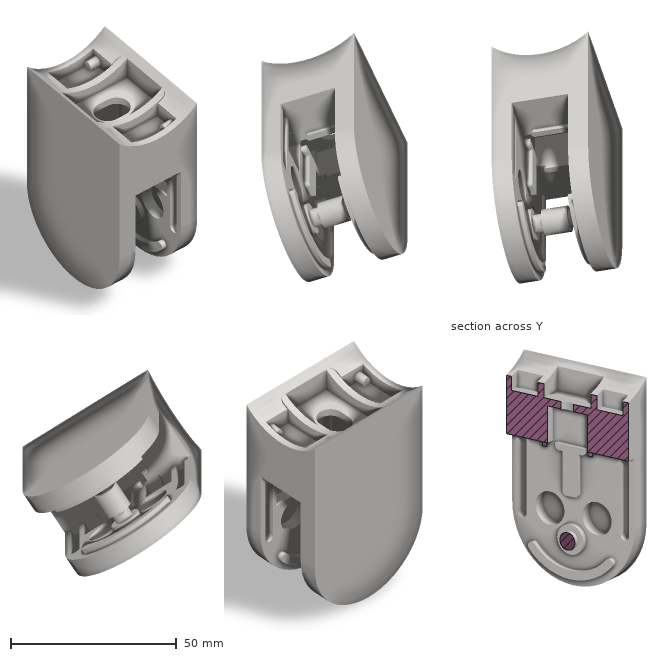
import cadquery as cq
import math

WIDTH = 45.0
DEPTH = 30.0
HEIGHT = 69.2
JAW_THICKNESS = 6.2
BLOCK_BOTTOM = 45.05
END_RADIUS = WIDTH / 2
OUTER_Y = DEPTH / 2
INNER_Y = OUTER_Y - JAW_THICKNESS

SADDLE_SAG = 6.1
SADDLE_RADIUS = (OUTER_Y**2 + SADDLE_SAG**2) / (2 * SADDLE_SAG)
SADDLE_Z = HEIGHT - SADDLE_SAG + SADDLE_RADIUS

POCKET_FLOOR = 59.4
CENTRE_POCKET_WIDTH = 17.1
CENTRE_POCKET_FRONT = -12.7
SIDE_POCKET_INNER_X = 10.95
SIDE_POCKET_OUTER_X = 20.35
SIDE_POCKET_FRONT = -8.6
TONGUE_WIDTH = 2 * SIDE_POCKET_INNER_X
TONGUE_BACK = 12.5
TONGUE_CORNER = 1.7
TONGUE_GAP = 0.4

OPENING_WIDTH = 8.6
OPENING_LENGTH = 12.05
LEDGE_THICKNESS = 2.5

CAVITY_WIDTH = 14.55
CAVITY_END_Y = -SIDE_POCKET_FRONT
CAVITY_NECK_WIDTH = 12.45
CAVITY_NECK_BACK = 12.0
CAVITY_CORNER = 1.1

GROOVE_X = 18.8
GROOVE_WIDTH = 3.2
GROOVE_BOTTOM = 18.1
GROOVE_DEPTH = 2.3
CUP_X = 8.65
CUP_Z = 23.0
CUP_RADIUS = 5.3
WINDOW_OUTER_X = 15.8
WINDOW_INNER_X = 6.2
WINDOW_BOTTOM = 30.4

RIB_HEIGHT = 1.7
ARC_RIB_RADIUS = 18.7
ARC_RIB_WIDTH = 2.85
ARC_RIB_HALF_ANGLE = math.radians(49)
STEM_WIDTH = 5.55
STEM_BOTTOM = 28.85
STEM_CORNER = 1.05
CROSSBAR_LENGTH = 11.1
CROSSBAR_RADIUS = 1.3
CROSSBAR_Z = 44.15

PEG_X = 18.35
PEG_Z = 61.2
PEG_LENGTH = 3.6
PEG_BASE_RADIUS = 1.8
PEG_TIP_RADIUS = 1.5

PIN_Z = 15.1
PIN_RADIUS = 2.85
SLEEVE_RADIUS = 4.0
SLEEVE_LENGTH = 8.0
COLLAR_RADIUS = 4.8

CUSHION_LENGTH = 11.9
CUSHION_WIDTH = 2.1
CUSHION_HEIGHT = 1.25
CUSHION_X = (CAVITY_WIDTH + CUSHION_WIDTH) / 2


def box(x_min, x_max, y_min, y_max, z_min, z_max):
    """Box between opposite corner coordinates."""
    size = (x_max - x_min, y_max - y_min, z_max - z_min)
    return cq.Workplane("XY").box(*size, centered=False).translate((x_min, y_min, z_min))


def cylinder_y(x, z, radius, y_min, y_max):
    """Cylinder along Y between two Y positions."""
    disc = cq.Workplane("XZ", origin=(x, y_min, z)).circle(radius)
    return disc.extrude(y_min - y_max)


def jaw(y_min):
    """Flat plate with a semicircular lower end."""
    profile = (
        cq.Workplane("XZ", origin=(0, y_min, 0))
        .moveTo(-END_RADIUS, HEIGHT)
        .lineTo(-END_RADIUS, END_RADIUS)
        .threePointArc((0, 0), (END_RADIUS, END_RADIUS))
        .lineTo(END_RADIUS, HEIGHT)
        .close()
    )
    return profile.extrude(-JAW_THICKNESS)


def saddle_cutter():
    """Long cylinder along X that hollows the top."""
    circle = cq.Workplane("YZ").center(0, SADDLE_Z).circle(SADDLE_RADIUS)
    return circle.extrude(WIDTH, both=True)


def face_recesses():
    """Grooves and round cups sunk into the jaw face at +Y."""
    groove_end = INNER_Y + GROOVE_DEPTH
    groove_radius = GROOVE_WIDTH / 2
    groove_round_z = GROOVE_BOTTOM + groove_radius
    cutter = cq.Workplane("XY")
    for side in (-1, 1):
        x = side * GROOVE_X
        groove = box(x - groove_radius, x + groove_radius, INNER_Y, groove_end, groove_round_z, BLOCK_BOTTOM)
        cutter = cutter.add(groove)
        cutter = cutter.add(cylinder_y(x, groove_round_z, groove_radius, INNER_Y, groove_end))
        cutter = cutter.add(cylinder_y(side * CUP_X, CUP_Z, CUP_RADIUS, INNER_Y, TONGUE_BACK))
    return cutter.combine()


def arc_rib():
    """Curved rib with round ends, concentric with the lower end of the jaw."""
    def arc_point(radius, angle):
        return (radius * math.sin(angle), END_RADIUS - radius * math.cos(angle))

    inner = ARC_RIB_RADIUS - ARC_RIB_WIDTH / 2
    outer = ARC_RIB_RADIUS + ARC_RIB_WIDTH / 2
    angle = ARC_RIB_HALF_ANGLE
    end_angle = angle + ARC_RIB_WIDTH / 2 / ARC_RIB_RADIUS
    profile = (
        cq.Workplane("XZ", origin=(0, INNER_Y, 0))
        .moveTo(*arc_point(outer, -angle))
        .threePointArc(arc_point(outer, 0), arc_point(outer, angle))
        .threePointArc(arc_point(ARC_RIB_RADIUS, end_angle), arc_point(inner, angle))
        .threePointArc(arc_point(inner, 0), arc_point(inner, -angle))
        .threePointArc(arc_point(ARC_RIB_RADIUS, -end_angle), arc_point(outer, -angle))
        .close()
    )
    return profile.extrude(RIB_HEIGHT)


def t_rib():
    """T-shaped rib: a stem below a round-ended crossbar that stops at the block."""
    face = INNER_Y - RIB_HEIGHT
    stem = box(-STEM_WIDTH / 2, STEM_WIDTH / 2, face, INNER_Y, STEM_BOTTOM, BLOCK_BOTTOM)
    stem = stem.edges("|Y and <Z").fillet(STEM_CORNER)
    crossbar = (
        cq.Workplane("XZ", origin=(0, INNER_Y, CROSSBAR_Z))
        .slot2D(CROSSBAR_LENGTH, 2 * CROSSBAR_RADIUS)
        .extrude(RIB_HEIGHT)
    )
    below_block = box(-END_RADIUS, END_RADIUS, face, INNER_Y, 0, BLOCK_BOTTOM)
    return stem.union(crossbar.intersect(below_block))


def detailed_jaw():
    """Jaw at +Y with its inner-face recesses and ribs."""
    return jaw(INNER_Y).cut(face_recesses()).union(arc_rib()).union(t_rib())


def front_crossbar_shoulder():
    """Square upper half of the front crossbar, running up into the block."""
    half = CROSSBAR_LENGTH / 2
    return box(-half, half, -INNER_Y, RIB_HEIGHT - INNER_Y, CROSSBAR_Z, BLOCK_BOTTOM)


def tongue(gap):
    """Rounded tongue behind the block; a gap widens it into the cover's recess."""
    half = TONGUE_WIDTH / 2 + gap
    body = box(-half, half, 0, TONGUE_BACK, BLOCK_BOTTOM, HEIGHT)
    return body.edges("|Z and >Y").fillet(TONGUE_CORNER + gap)


def opening_cutter():
    """Vertical round-ended opening below the centre pocket."""
    slot = cq.Workplane("XY", origin=(0, 0, BLOCK_BOTTOM)).slot2D(OPENING_LENGTH, OPENING_WIDTH, 90)
    return slot.extrude(POCKET_FLOOR - BLOCK_BOTTOM)


def cavity_cutter():
    """Hollow open at the bottom, with a narrower neck reaching back into the tongue."""
    top = POCKET_FLOOR - LEDGE_THICKNESS
    half = CAVITY_WIDTH / 2
    main = box(-half, half, -CAVITY_END_Y, CAVITY_END_Y, BLOCK_BOTTOM, top)
    neck_half = CAVITY_NECK_WIDTH / 2
    neck = box(-neck_half, neck_half, 0, CAVITY_NECK_BACK, BLOCK_BOTTOM, top)
    return main.union(neck.edges("|Z and >Y").fillet(CAVITY_CORNER))


def make_housing():
    """Front jaw and block in one piece, with pockets and the screw opening."""
    body = detailed_jaw().mirror("XZ").union(front_crossbar_shoulder())
    body = body.union(box(-END_RADIUS, END_RADIUS, -INNER_Y, INNER_Y, BLOCK_BOTTOM, HEIGHT))
    body = body.union(tongue(0))
    half = CENTRE_POCKET_WIDTH / 2
    body = body.cut(box(-half, half, CENTRE_POCKET_FRONT, OUTER_Y, POCKET_FLOOR, HEIGHT))
    for x_min in (-SIDE_POCKET_OUTER_X, SIDE_POCKET_INNER_X):
        x_max = x_min + SIDE_POCKET_OUTER_X - SIDE_POCKET_INNER_X
        body = body.cut(box(x_min, x_max, SIDE_POCKET_FRONT, INNER_Y, POCKET_FLOOR, HEIGHT))
    body = body.cut(opening_cutter())
    body = body.cut(cavity_cutter())
    return body.cut(saddle_cutter()).solids()


def make_peg(x):
    """Tapered peg pointing from the cover towards -Y."""
    peg = cq.Solid.makeCone(
        PEG_BASE_RADIUS, PEG_TIP_RADIUS, PEG_LENGTH, cq.Vector(x, INNER_Y, PEG_Z), cq.Vector(0, -1, 0)
    )
    return cq.Workplane(peg)


def make_cover():
    """Back jaw with the tongue recess, two windows and the locating pegs."""
    body = detailed_jaw().cut(tongue(TONGUE_GAP))
    for x_min in (-WINDOW_OUTER_X, WINDOW_INNER_X):
        x_max = x_min + WINDOW_OUTER_X - WINDOW_INNER_X
        body = body.cut(box(x_min, x_max, INNER_Y, TONGUE_BACK, WINDOW_BOTTOM, BLOCK_BOTTOM))
    body = body.cut(saddle_cutter())
    for side in (-1, 1):
        body = body.union(make_peg(side * PEG_X))
    return body.solids()


def make_pin():
    """Round pin spanning the gap between the jaws."""
    return cylinder_y(0, PIN_Z, PIN_RADIUS, -INNER_Y, INNER_Y)


def make_ring(radius, y_min, y_max):
    """Ring that fits around the pin."""
    ring = cylinder_y(0, PIN_Z, radius, y_min, y_max)
    return ring.cut(make_pin()).solids()


def make_sleeve():
    """Sleeve around the middle of the pin."""
    return make_ring(SLEEVE_RADIUS, -SLEEVE_LENGTH / 2, SLEEVE_LENGTH / 2)


def make_collar(y_min):
    """Collar around one end of the pin, against a jaw."""
    return make_ring(COLLAR_RADIUS, y_min, y_min + RIB_HEIGHT)


def make_cushion(x):
    """Round-ended bar under the block, beside the screw opening."""
    slot = cq.Workplane("XY", origin=(x, 0, BLOCK_BOTTOM)).slot2D(CUSHION_LENGTH, CUSHION_WIDTH, 90)
    return slot.extrude(-CUSHION_HEIGHT)


housing = make_housing()
cover = make_cover()
pin = make_pin()
sleeve = make_sleeve()
collars = [make_collar(y_min) for y_min in (-INNER_Y, INNER_Y - RIB_HEIGHT)]
cushions = [make_cushion(side * CUSHION_X) for side in (-1, 1)]

result = cq.Compound.makeCompound(
    [
        housing.val(),
        cover.val(),
        pin.val(),
        sleeve.val(),
        *[collar.val() for collar in collars],
        *[cushion.val() for cushion in cushions],
    ]
)